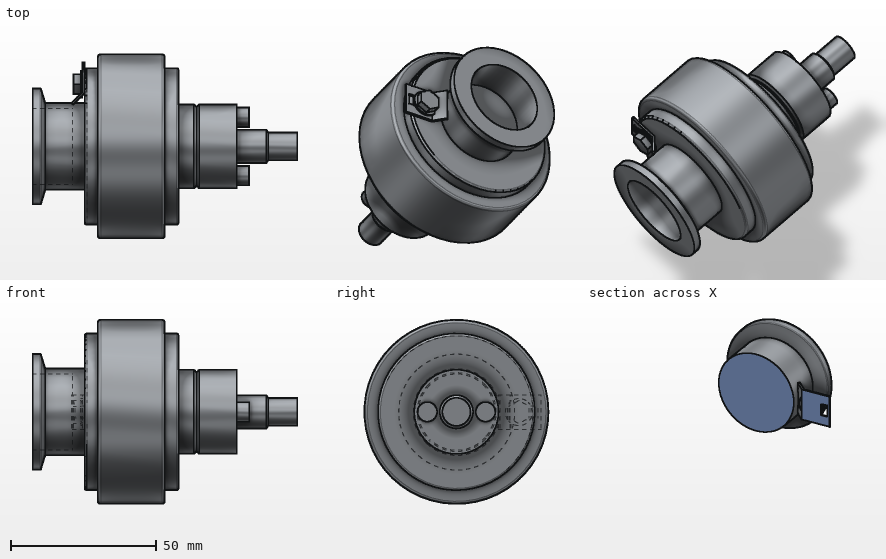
import cadquery as cq
import math

overall_length = 91.25
flange_radius = 20.0
flange_rim_end = 2.8
flange_cone_end = 4.4
flange_edge_rounding = 0.4
neck_radius = 15.0
bore_radius = 13.1
drum_start = 18.0
drum_end = 50.3
drum_radius = 27.0
drum_edge_rounding = 0.7
collar_start = 22.45
collar_end = 45.5
collar_radius = 31.8
collar_edge_rounding = 1.0
bore_depth = 13.7

hub_radius = 14.5
hub_end = 70.35
groove_center = 56.5
groove_depth = 0.9
shaft_radius = 5.75
shaft_step = 80.6
shaft_tip_radius = 4.8
shaft_chamfer_length = 0.55
pin_radius = 3.4
pin_offset = 10.0
pin_end = 74.6

tag_thickness = 0.8
tag_width = 11.9
tag_top = 29.0
tag_bend = 18.7
tag_tail_reach = 4.0
slot_center = 26.8
slot_length = 2.3
slot_width = 4.2

screw_center = 21.4
washer_radius = 4.65
washer_thickness = 0.6
hex_across_flats = 6.9
hex_head_height = 2.5


def cylinder(start, end, radius, y=0.0):
    """Solid cylinder parallel to X between two stations."""
    return cq.Workplane("YZ", origin=(start, y, 0)).circle(radius).extrude(end - start)


def revolve_profile(points):
    """Revolve an (x, radius) outline about the X axis."""
    return cq.Workplane("XY").polyline(points).close().revolve(360, (0, 0, 0), (1, 0, 0))


def make_front_pipe():
    """Clamp flange with a tapered back, and the neck behind it."""
    pipe = revolve_profile([
        (0, 0),
        (0, flange_radius),
        (flange_rim_end, flange_radius),
        (flange_cone_end, neck_radius),
        (drum_start, neck_radius),
        (drum_start, 0),
    ])
    rim_corner = cq.selectors.NearestToPointSelector((flange_rim_end, 0, 0))
    return pipe.edges(rim_corner).fillet(flange_edge_rounding)


def make_drum():
    """Rounded drum with a wider rounded collar around it."""
    drum = cylinder(drum_start, drum_end, drum_radius).edges().fillet(drum_edge_rounding)
    collar = cylinder(collar_start, collar_end, collar_radius).edges().fillet(collar_edge_rounding)
    return drum.union(collar)


def make_hub_and_shaft():
    """Grooved hub followed by a shaft with a chamfered step."""
    return revolve_profile([
        (drum_end, 0),
        (drum_end, hub_radius),
        (groove_center - groove_depth, hub_radius),
        (groove_center, hub_radius - groove_depth),
        (groove_center + groove_depth, hub_radius),
        (hub_end, hub_radius),
        (hub_end, shaft_radius),
        (shaft_step, shaft_radius),
        (shaft_step + shaft_chamfer_length, shaft_tip_radius),
        (overall_length, shaft_tip_radius),
        (overall_length, 0),
    ])


def make_tag():
    """Flat plate with a slot near its top and a tail bent 45 degrees toward the flange."""
    front = drum_start - tag_thickness
    bend_shift = tag_thickness * math.tan(math.radians(45 / 2))
    slant = tag_thickness * math.sqrt(0.5)
    back_bend = tag_bend - bend_shift
    tail_x = drum_start - tag_tail_reach
    tail_y = back_bend - tag_tail_reach
    plate = (
        cq.Workplane("XY")
        .polyline([
            (drum_start, tag_top),
            (front, tag_top),
            (front, tag_bend),
            (tail_x - slant, tail_y + slant),
            (tail_x, tail_y),
            (drum_start, back_bend),
        ])
        .close()
        .extrude(tag_width / 2, both=True)
    )
    slot = (
        cq.Workplane("YZ", origin=(front, slot_center, 0))
        .rect(slot_length, slot_width)
        .extrude(tag_thickness)
    )
    return plate.cut(slot)


def make_screw():
    """Washer and hexagon head, with two corners of the hexagon along Z."""
    tag_front = drum_start - tag_thickness
    washer_front = tag_front - washer_thickness
    washer = cylinder(washer_front, tag_front, washer_radius, screw_center)
    hex_diameter = hex_across_flats / math.cos(math.pi / 6)
    head = (
        cq.Workplane("YZ", origin=(washer_front, screw_center, 0))
        .transformed(rotate=(0, 0, 90))
        .polygon(6, hex_diameter)
        .extrude(-hex_head_height)
    )
    return washer.union(head)


result = make_front_pipe().union(make_drum()).union(make_hub_and_shaft())
for side in (-1, 1):
    result = result.union(cylinder(hub_end, pin_end, pin_radius, side * pin_offset))
result = result.union(make_tag()).union(make_screw())
result = result.cut(cylinder(0, bore_depth, bore_radius))